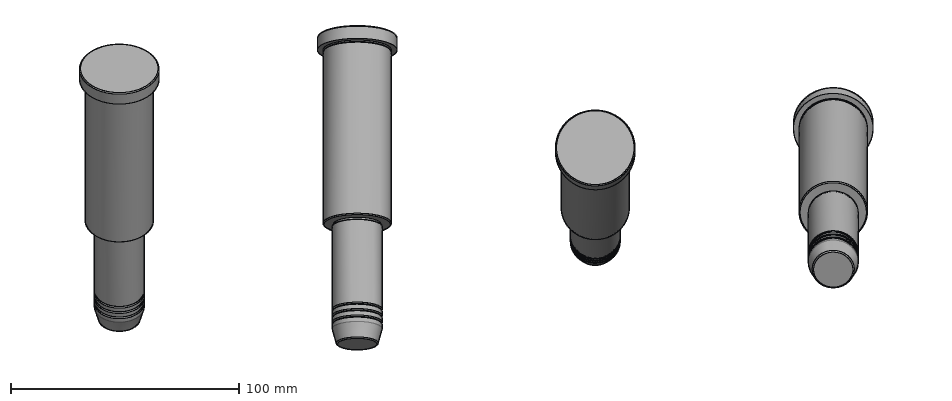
import cadquery as cq
import math

total_length = 141.0
head_height = 6.0
pin_length = 55.0
nose_length = 7.0

head_radius = 35.0 / 2
body_radius = 30.0 / 2
pin_radius = 22.0 / 2

edge_chamfer = 0.5
nose_angle = 15.0
groove_width = 1.0
groove_depth = 0.5
ring_groove_count = 3
ring_groove_pitch = 3.0
lowest_ring_groove = 9.0

head_bottom = total_length - head_height
tip_radius = pin_radius - nose_length * math.tan(math.radians(nose_angle))


def cylinder(radius, bottom, top):
    return cq.Workplane("XY").workplane(offset=bottom).circle(radius).extrude(top - bottom)


def vee_groove(shaft_radius, bottom):
    """V-shaped ring groove to remove from a shaft, starting at height bottom."""
    middle = bottom + groove_width / 2
    profile = [
        (shaft_radius, bottom),
        (shaft_radius, bottom + groove_width),
        (shaft_radius - groove_depth, middle),
    ]
    return cq.Workplane("XZ").polyline(profile).close().revolve(360, (0, 0, 0), (0, 1, 0))


def square_groove(shaft_radius, bottom):
    """Ring of material to remove from a shaft, starting at height bottom."""
    top = bottom + groove_width
    outer = cylinder(shaft_radius + groove_depth, bottom, top)
    return outer.cut(cylinder(shaft_radius - groove_depth, bottom, top))


nose = (
    cq.Workplane("XY")
    .circle(tip_radius)
    .workplane(offset=nose_length)
    .circle(pin_radius)
    .loft(ruled=True)
    .faces("<Z")
    .chamfer(edge_chamfer)
)

pin = cylinder(pin_radius, nose_length, pin_length)
body = cylinder(body_radius, pin_length, head_bottom).faces("<Z").chamfer(edge_chamfer)
head = cylinder(head_radius, head_bottom, total_length).faces(">Z").chamfer(edge_chamfer)
result = nose.union(pin).union(body).union(head)

result = result.cut(square_groove(pin_radius, pin_length - groove_width))
result = result.cut(vee_groove(body_radius, head_bottom - groove_width))

for index in range(ring_groove_count):
    result = result.cut(vee_groove(pin_radius, lowest_ring_groove + index * ring_groove_pitch))